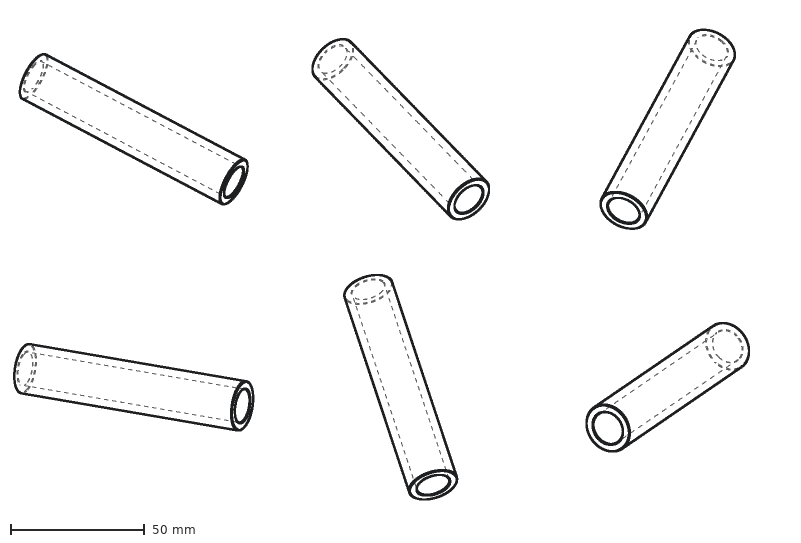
import cadquery as cq

length = 90.6
outer_diameter = 18.8
bore_diameter = 12.6
edge_chamfer = 0.3

tube = (
    cq.Workplane("YZ", origin=(-length / 2, 0, 0))
    .circle(outer_diameter / 2)
    .circle(bore_diameter / 2)
    .extrude(length)
)

result = tube.faces("<X or >X").edges().chamfer(edge_chamfer)